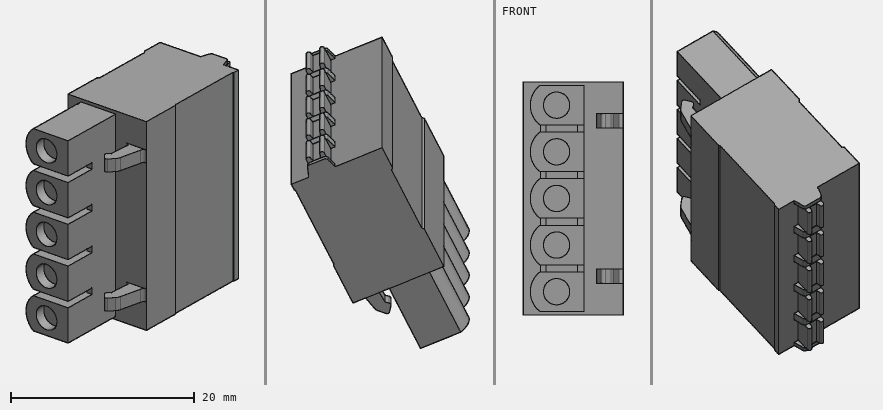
import cadquery as cq

POLES = 5
WIDTH = 10.9
DEPTH = 16.16
HEIGHT = 25.4
PITCH = HEIGHT / POLES
TOP_Z = HEIGHT / 2

GRIP_FRONT = 5.11
GRIP_SLOPE = 0.2
LEFT_GRIP_BACK = 13.4
LEFT_GRIP_DEPTH = 0.2
RIGHT_GRIP_BACK = 15.4
RIGHT_GRIP_DEPTH = 0.1

PORT_LENGTH = 8.35
PORT_HEIGHT = 4.3
PORT_LEFT = 0.77
PORT_RIGHT = 6.62
PORT_ARC_DEPTH = 1.03
BORE_X = 3.63
BORE_DIAMETER = 2.85
BORE_DEPTH = 1.32

WEB_LENGTH = 4.13
WEB_LEFT = 1.88
LEFT_WEB_THICKNESS = 0.6
RIGHT_WEB_THICKNESS = 0.75

LATCH_WIDTH = 1.6
LATCH_OFFSET = 8.45
LATCH_OUTER_ROOT = (0.05, 0.0)
LATCH_OUTER_START = (0.48, 0.42)
LATCH_BEND = (1.15, 3.5)
LATCH_TIP = (2.2, 4.6)
LATCH_NOSE = (3.02, 3.5)
LATCH_THROAT = (2.46, 3.02)
LATCH_INNER_START = (2.33, 0.4)
LATCH_INNER_ROOT = (2.75, 0.0)
LATCH_ROOT_RADIUS = 0.42
LATCH_BEND_RADIUS = 1.05
LATCH_TIP_RADIUS = 0.3
LATCH_NOSE_RADIUS = 0.32

TOOTH_X = 7.2
TOOTH_WIDTH = 2.15
TOOTH_LENGTH = 2.0
TOOTH_HEIGHT = 3.82
PRONG_TIP_WIDTH = 0.53
PRONG_ROOT_WIDTH = 0.64
RIB_LENGTH = 1.35
RIB_HEIGHT = 1.1
RIB_ROOT_WIDTH = 3.18
RIB_TIP_WIDTH = 2.3
RIB_TIP_RADIUS = 0.35

OVERLAP = 0.26


def extrude_z(outline, height, center_z=0.0):
    """Extrude a closed XY outline, centred on the height center_z."""
    return outline.extrude(height / 2, both=True).translate((0, 0, center_z))


def box(x_min, x_max, y_min, y_max, height, center_z):
    """Block given by its X and Y limits, centred on the height center_z."""
    block = cq.Workplane("XY").box(x_max - x_min, y_max - y_min, height)
    return block.translate(((x_min + x_max) / 2, (y_min + y_max) / 2, center_z))


def make_housing():
    left_floor = LEFT_GRIP_DEPTH
    right_floor = WIDTH - RIGHT_GRIP_DEPTH
    outline = cq.Workplane("XY").polyline([
        (0, 0),
        (WIDTH, 0),
        (WIDTH, GRIP_FRONT),
        (right_floor, GRIP_FRONT + RIGHT_GRIP_DEPTH),
        (right_floor, RIGHT_GRIP_BACK - RIGHT_GRIP_DEPTH),
        (WIDTH, RIGHT_GRIP_BACK),
        (WIDTH, DEPTH),
        (0, DEPTH),
        (0, LEFT_GRIP_BACK),
        (left_floor, LEFT_GRIP_BACK - GRIP_SLOPE),
        (left_floor, GRIP_FRONT + GRIP_SLOPE),
        (0, GRIP_FRONT),
    ]).close()
    return extrude_z(outline, HEIGHT)


def make_port(center_z):
    arc_end_x = PORT_LEFT + PORT_ARC_DEPTH
    half_height = PORT_HEIGHT / 2
    front = cq.Workplane("XZ", origin=(0, -PORT_LENGTH, center_z))
    port = (
        front.moveTo(PORT_RIGHT, -half_height)
        .lineTo(PORT_RIGHT, half_height)
        .lineTo(arc_end_x, half_height)
        .threePointArc((PORT_LEFT, 0), (arc_end_x, -half_height))
        .close()
        .extrude(-(PORT_LENGTH + OVERLAP))
    )
    bore = front.center(BORE_X, 0).circle(BORE_DIAMETER / 2).extrude(-BORE_DEPTH)
    return port.cut(bore)


def make_webs(center_z):
    left = box(WEB_LEFT, WEB_LEFT + LEFT_WEB_THICKNESS, -WEB_LENGTH, OVERLAP,
               PITCH - PORT_HEIGHT, center_z)
    right = box(PORT_RIGHT - RIGHT_WEB_THICKNESS, PORT_RIGHT, -WEB_LENGTH, OVERLAP,
                PITCH - PORT_HEIGHT, center_z)
    return left.union(right)


def latch_point(inset_and_reach):
    inset, reach = inset_and_reach
    return (WIDTH - inset, -reach)


def make_latch(center_z):
    """Hook with flared roots and a rounded bend, tip and nose."""
    outer_root_x, _ = latch_point(LATCH_OUTER_ROOT)
    inner_root_x, _ = latch_point(LATCH_INNER_ROOT)
    outline = (
        cq.Workplane("XY")
        .moveTo(*latch_point(LATCH_INNER_ROOT))
        .lineTo(inner_root_x, OVERLAP)
        .lineTo(outer_root_x, OVERLAP)
        .lineTo(*latch_point(LATCH_OUTER_ROOT))
        .radiusArc(latch_point(LATCH_OUTER_START), -LATCH_ROOT_RADIUS)
        .lineTo(*latch_point(LATCH_BEND))
        .lineTo(*latch_point(LATCH_TIP))
        .lineTo(*latch_point(LATCH_NOSE))
        .lineTo(*latch_point(LATCH_THROAT))
        .lineTo(*latch_point(LATCH_INNER_START))
        .radiusArc(latch_point(LATCH_INNER_ROOT), -LATCH_ROOT_RADIUS)
        .close()
    )
    latch = extrude_z(outline, LATCH_WIDTH)
    rounded_corners = (
        (LATCH_BEND, LATCH_BEND_RADIUS),
        (LATCH_TIP, LATCH_TIP_RADIUS),
        (LATCH_NOSE, LATCH_NOSE_RADIUS),
    )
    for corner, radius in rounded_corners:
        x, y = latch_point(corner)
        nearest = cq.selectors.NearestToPointSelector((x, y, 0))
        latch = latch.edges("|Z").edges(nearest).fillet(radius)
    return latch.translate((0, 0, center_z))


def make_tooth(center_z):
    tip_radius = PRONG_TIP_WIDTH / 2
    tip_y = DEPTH + TOOTH_LENGTH
    round_y = tip_y - tip_radius
    slot_y = DEPTH + RIB_LENGTH
    left = TOOTH_X - TOOTH_WIDTH / 2
    right = TOOTH_X + TOOTH_WIDTH / 2
    outline = (
        cq.Workplane("XY")
        .moveTo(left, DEPTH - OVERLAP)
        .lineTo(left, round_y)
        .threePointArc((left + tip_radius, tip_y), (left + PRONG_TIP_WIDTH, round_y))
        .lineTo(left + PRONG_ROOT_WIDTH, slot_y)
        .lineTo(right - PRONG_ROOT_WIDTH, slot_y)
        .lineTo(right - PRONG_TIP_WIDTH, round_y)
        .threePointArc((right - tip_radius, tip_y), (right, round_y))
        .lineTo(right, DEPTH - OVERLAP)
        .close()
    )
    return extrude_z(outline, TOOTH_HEIGHT, center_z)


def make_rib(center_z, height):
    tip_y = DEPTH + RIB_LENGTH
    outline = cq.Workplane("XY").polyline([
        (TOOTH_X - RIB_ROOT_WIDTH / 2, DEPTH),
        (TOOTH_X - RIB_TIP_WIDTH / 2, tip_y),
        (TOOTH_X + RIB_TIP_WIDTH / 2, tip_y),
        (TOOTH_X + RIB_ROOT_WIDTH / 2, DEPTH),
    ]).close()
    rib = extrude_z(outline, height, center_z)
    return rib.faces(">Y").edges("|Z").fillet(RIB_TIP_RADIUS)


pole_heights = [(i - (POLES - 1) / 2) * PITCH for i in range(POLES)]
gap_heights = [z + PITCH / 2 for z in pole_heights[:-1]]

result = make_housing()
for z in pole_heights:
    result = result.union(make_port(z)).union(make_tooth(z))
for z in gap_heights:
    result = result.union(make_webs(z)).union(make_rib(z, RIB_HEIGHT))
for side in (-1, 1):
    end_rib_z = side * (TOP_Z - RIB_HEIGHT / 4)
    result = result.union(make_rib(end_rib_z, RIB_HEIGHT / 2))
    result = result.union(make_latch(side * LATCH_OFFSET))